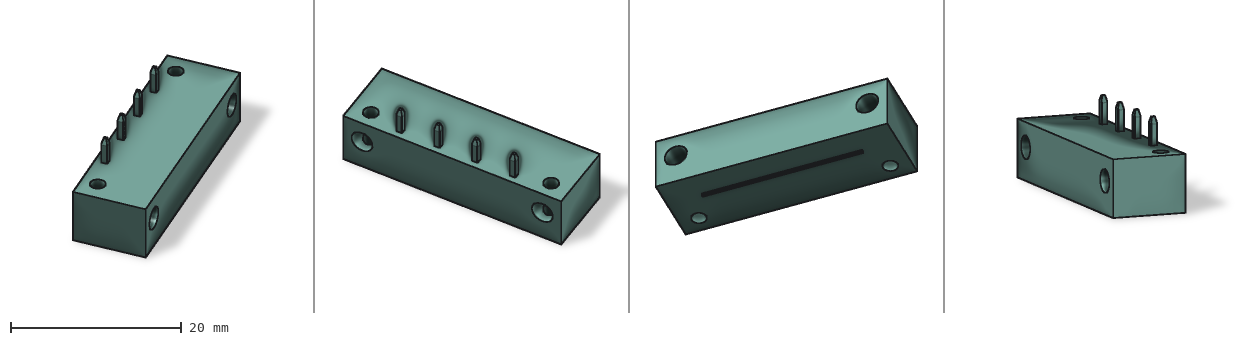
import cadquery as cq

PITCH = 5.08
PIN_COUNT = 4
PIN_WIDTH = 0.8
PIN_EDGE_CHAMFER = 0.08
PIN_HEIGHT = 3.4
PIN_TIP_HEIGHT = 0.8
PIN_TIP_WIDTH = 0.36
PIN_FROM_FACE = 1.23

BODY_DEPTH = 9.2
BODY_LENGTH = 29.34
BODY_HEIGHT = 7.0

FLANGE_HOLE_SPACING = 24.25
CROSS_HOLE_DIAMETER = 2.8
CROSS_HOLE_HEIGHT = 4.0
VERTICAL_HOLE_DIAMETER = 1.85
VERTICAL_HOLE_FROM_FACE = 2.11

RIB_LENGTH = PIN_COUNT * PITCH
RIB_WIDTH = 0.4
RIB_HEIGHT = 0.25
RIB_FROM_FACE = 5.61
RIB_CHAMFER = 0.08


def make_body():
    """Plain rectangular housing."""
    return cq.Workplane("XY").box(BODY_DEPTH, BODY_LENGTH, BODY_HEIGHT, centered=(False, True, False))


def make_flange_holes(y):
    """A through hole along X and a smaller one along Z, both at the given Y."""
    cross = (
        cq.Workplane("YZ")
        .center(y, CROSS_HOLE_HEIGHT)
        .circle(CROSS_HOLE_DIAMETER / 2)
        .extrude(BODY_DEPTH)
    )
    vertical = (
        cq.Workplane("XY")
        .center(VERTICAL_HOLE_FROM_FACE, y)
        .circle(VERTICAL_HOLE_DIAMETER / 2)
        .extrude(BODY_HEIGHT)
    )
    return cross.union(vertical)


def make_pin(y):
    """Square pin with a blunt pyramid tip; its upright edges are chamfered up into the tip."""
    shank_height = PIN_HEIGHT - PIN_TIP_HEIGHT
    envelope = (
        cq.Workplane("XY", origin=(PIN_FROM_FACE, y, BODY_HEIGHT))
        .rect(PIN_WIDTH, PIN_WIDTH)
        .extrude(PIN_HEIGHT)
        .edges("|Z")
        .chamfer(PIN_EDGE_CHAMFER)
    )
    tapered = (
        cq.Workplane("XY", origin=(PIN_FROM_FACE, y, BODY_HEIGHT))
        .rect(PIN_WIDTH, PIN_WIDTH)
        .extrude(shank_height)
        .faces(">Z")
        .workplane()
        .rect(PIN_WIDTH, PIN_WIDTH)
        .workplane(offset=PIN_TIP_HEIGHT)
        .rect(PIN_TIP_WIDTH, PIN_TIP_WIDTH)
        .loft(ruled=True)
    )
    return tapered.intersect(envelope)


def make_rib():
    """Low rib along the underside with its lower long edges chamfered."""
    return (
        cq.Workplane("XY", origin=(RIB_FROM_FACE, 0, -RIB_HEIGHT))
        .box(RIB_WIDTH, RIB_LENGTH, RIB_HEIGHT, centered=(False, True, False))
        .edges("<Z and |Y")
        .chamfer(RIB_CHAMFER)
    )


result = make_body().union(make_rib())
for side in (-1, 1):
    result = result.cut(make_flange_holes(side * FLANGE_HOLE_SPACING / 2))
for index in range(PIN_COUNT):
    result = result.union(make_pin((index - (PIN_COUNT - 1) / 2) * PITCH))